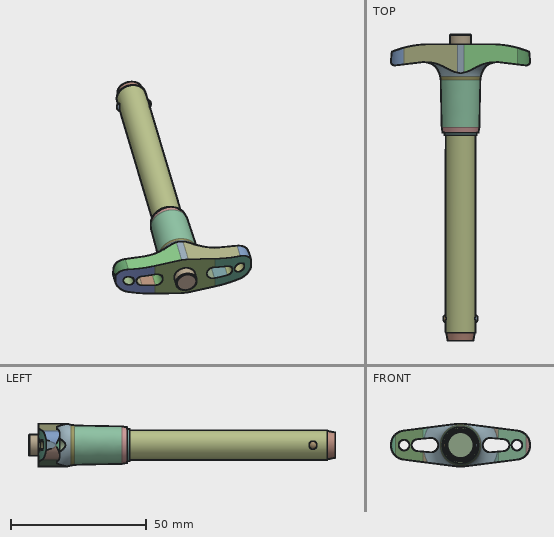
import cadquery as cq
import math

length = 113.0

shaft_radius = 5.5
tip_radius = 4.7
tip_shoulder_radius = 5.3
tip_length = 2.9

ball_radius = 1.6
ball_from_tip = 8.3
ball_reach = 6.4

collar_start = 75.7
collar_end = 76.7
collar_radius = 6.0
sleeve_start_radius = 6.7
sleeve_bevel_end = 78.8
sleeve_bevel_radius = 7.0
sleeve_end = 96.2
sleeve_end_radius = 7.3

button_radius = 4.0
button_height = 3.6
button_chamfer = 0.3

handle_span = 51.4
handle_width = 15.8
end_radius = 5.4
middle_flat_half = 1.2
top_flat_half = 11.3
end_drop = 2.8
end_thickness = 5.1
end_edge_radius = 1.6
end_lean = 0.3
flare_radius = 6.5
throat_length = 1.4
throat_radius = 7.6

cord_hole_radius = 1.9
cord_hole_x = 20.8
slot_inner_radius = 2.6
slot_inner_x = 10.9
slot_outer_radius = 2.1
slot_outer_x = 15.8

half_span = handle_span / 2
half_width = handle_width / 2
handle_top = length - button_height
end_top = handle_top - end_drop
end_bottom = end_top - end_thickness
underside = sleeve_end + flare_radius
flare_outer_radius = sleeve_end_radius + flare_radius
end_center_x = half_span - end_radius


def revolve_about_pin(profile):
    return profile.close().revolve(360, (0, 0, 0), (0, 1, 0))


def make_pin():
    """Turned shaft and sleeve, reaching up into the handle."""
    profile = (
        cq.Workplane("XY")
        .lineTo(tip_radius, 0)
        .lineTo(tip_shoulder_radius, tip_length)
        .lineTo(shaft_radius, tip_length)
        .lineTo(shaft_radius, collar_start)
        .lineTo(collar_radius, collar_start)
        .lineTo(collar_radius, collar_end)
        .lineTo(sleeve_start_radius, collar_end)
        .lineTo(sleeve_bevel_radius, sleeve_bevel_end)
        .lineTo(sleeve_end_radius, sleeve_end)
        .lineTo(sleeve_end_radius, underside)
        .lineTo(0, underside)
    )
    return revolve_about_pin(profile)


def make_button():
    profile = (
        cq.Workplane("XY")
        .moveTo(0, underside)
        .lineTo(button_radius, underside)
        .lineTo(button_radius, length - button_chamfer)
        .lineTo(button_radius - button_chamfer, length)
        .lineTo(0, length)
    )
    return revolve_about_pin(profile)


def make_locking_balls():
    center_x = ball_reach - ball_radius
    return cq.Workplane("XY").pushPoints(
        [(-center_x, ball_from_tip), (center_x, ball_from_tip)]
    ).sphere(ball_radius)


def make_handle_outline():
    """Tapered outline with round ends, extruded along the pin."""
    run = end_center_x - middle_flat_half
    slope = math.asin(end_radius / math.hypot(run, half_width))
    slope = math.atan2(half_width, run) - slope
    tangent_x = end_center_x + end_radius * math.sin(slope)
    tangent_z = end_radius * math.cos(slope)
    return (
        cq.Workplane("XZ", origin=(0, handle_top, 0))
        .moveTo(-middle_flat_half, half_width)
        .lineTo(middle_flat_half, half_width)
        .lineTo(tangent_x, tangent_z)
        .threePointArc((half_span, 0), (tangent_x, -tangent_z))
        .lineTo(middle_flat_half, -half_width)
        .lineTo(-middle_flat_half, -half_width)
        .lineTo(-tangent_x, -tangent_z)
        .threePointArc((-half_span, 0), (-tangent_x, tangent_z))
        .close()
        .extrude(handle_top - sleeve_end)
    )


def make_handle_bar():
    """Side profile of the bar: domed top, thin leaning ends, underside edges rounded."""
    top_end_x = half_span - end_lean
    run = top_end_x - top_flat_half
    arc_radius = (run**2 + end_drop**2) / (2 * end_drop)
    arc_mid_x = top_flat_half + run / 2
    arc_mid_y = handle_top - arc_radius + math.sqrt(arc_radius**2 - (run / 2) ** 2)
    edge_x = half_span - end_edge_radius
    edge_inset = end_edge_radius * (1 - math.sqrt(0.5))
    return (
        cq.Workplane("XY")
        .moveTo(-top_flat_half, handle_top)
        .lineTo(top_flat_half, handle_top)
        .threePointArc((arc_mid_x, arc_mid_y), (top_end_x, end_top))
        .lineTo(half_span, end_bottom + end_edge_radius)
        .threePointArc((half_span - edge_inset, end_bottom + edge_inset), (edge_x, end_bottom))
        .lineTo(flare_outer_radius, underside)
        .lineTo(-flare_outer_radius, underside)
        .lineTo(-edge_x, end_bottom)
        .threePointArc(
            (-half_span + edge_inset, end_bottom + edge_inset),
            (-half_span, end_bottom + end_edge_radius),
        )
        .lineTo(-top_end_x, end_top)
        .threePointArc((-arc_mid_x, arc_mid_y), (-top_flat_half, handle_top))
        .close()
        .extrude(half_width, both=True)
    )


def make_flare():
    """Concave flare that blends the sleeve into the underside of the handle."""
    core_top = (underside + end_top) / 2
    diagonal = flare_radius * math.sqrt(0.5)
    profile = (
        cq.Workplane("XY")
        .moveTo(0, sleeve_end)
        .lineTo(sleeve_end_radius, sleeve_end)
        .lineTo(throat_radius, sleeve_end + throat_length)
        .threePointArc(
            (flare_outer_radius - diagonal, sleeve_end + diagonal),
            (flare_outer_radius, underside),
        )
        .lineTo(flare_outer_radius, core_top)
        .lineTo(0, core_top)
    )
    return revolve_about_pin(profile)


def make_slot(side):
    """Slot narrowing outward, made of two circles joined by their tangent lines."""
    lean = math.asin((slot_inner_radius - slot_outer_radius) / (slot_outer_x - slot_inner_x))
    inner_x = side * (slot_inner_x + slot_inner_radius * math.sin(lean))
    inner_z = slot_inner_radius * math.cos(lean)
    outer_x = side * (slot_outer_x + slot_outer_radius * math.sin(lean))
    outer_z = slot_outer_radius * math.cos(lean)
    return (
        cq.Workplane("XZ", origin=(0, length, 0))
        .moveTo(inner_x, inner_z)
        .lineTo(outer_x, outer_z)
        .threePointArc((side * (slot_outer_x + slot_outer_radius), 0), (outer_x, -outer_z))
        .lineTo(inner_x, -inner_z)
        .threePointArc((side * (slot_inner_x - slot_inner_radius), 0), (inner_x, inner_z))
        .close()
        .extrude(length - sleeve_end)
    )


def make_cord_hole(side):
    return (
        cq.Workplane("XZ", origin=(side * cord_hole_x, length, 0))
        .circle(cord_hole_radius)
        .extrude(length - sleeve_end)
    )


def make_handle():
    handle = make_handle_bar().union(make_flare()).intersect(make_handle_outline())
    for side in (-1, 1):
        handle = handle.cut(make_slot(side)).cut(make_cord_hole(side))
    return handle


result = make_pin().union(make_handle()).union(make_button()).union(make_locking_balls())